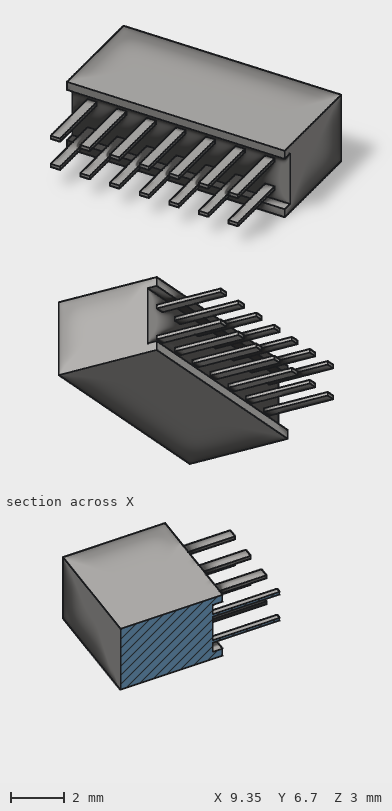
import cadquery as cq

length = 9.35
height = 3.0
total_depth = 6.7
housing_depth = 4.3
lip_depth = 0.4
lip_thickness = 0.36

columns = 7
rows = 2
pitch = 1.27
pin_width = 0.4
pin_thickness = 0.15

lip_face_y = total_depth - housing_depth
recess_floor_y = lip_face_y + lip_depth


def make_housing():
    """Block with a full-length channel in the pin side, leaving a lip above and below."""
    block = cq.Workplane("XY").box(length, housing_depth, height, centered=(True, False, True))
    channel_height = height - 2 * lip_thickness
    channel = cq.Workplane("XY").box(length, lip_depth, channel_height, centered=(True, False, True))
    return block.cut(channel).translate((0, lip_face_y, 0))


def make_pins():
    """Grid of flat pins running from the tips to the channel floor."""
    return (
        cq.Workplane("XZ")
        .rarray(pitch, pitch, columns, rows)
        .rect(pin_width, pin_thickness)
        .extrude(-recess_floor_y)
    )


result = make_housing().union(make_pins())